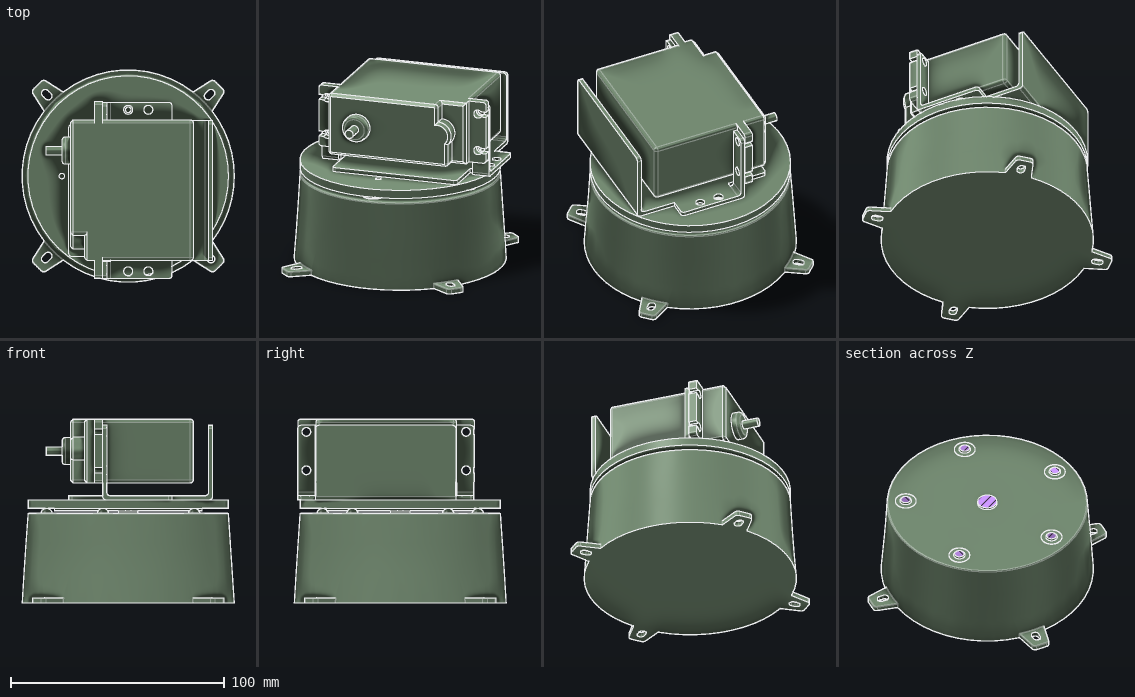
import cadquery as cq
import math

base_bottom_radius = 49.8
base_top_radius = 47.0
base_height = 42.1
base_rim_radius = 0.5

foot_count = 4
foot_first_angle = 45.0
foot_height = 2.5
foot_root = 44.8
foot_tip = 60.2
foot_root_half_width = 7.4
foot_tip_half_width = 4.0
foot_corner_radius = 1.8
foot_top_chamfer = 0.2
foot_blend_radius = 0.2
foot_slot_place = 54.0
foot_slot_length = 5.4
foot_slot_width = 3.5

caster_count = 5
caster_first_angle = 180.0
caster_ring_radius = 38.2
caster_flange_radius = 4.9
caster_flange_height = 0.2
caster_ball_radius = 2.8

turntable_bottom = 44.4
turntable_thickness = 4.0
turntable_radius = base_top_radius
turntable_top = turntable_bottom + turntable_thickness
lip_radius = 34.7
lip_height = 1.2
hub_radius = 4.6
disc_hole_count = 4
disc_hole_ring_radius = 31.1
disc_hole_radius = 1.3

sheet = 2.0
bend_radius = 1.6
wall_corner_radius = 1.6
bracket_left = -11.9
bracket_right = 39.6
bracket_height = 34.9
bracket_center_y = -6.8
bracket_width = 82.6
back_wall_width = 65.7
bracket_slot_width = 66.3
ear_right = 20.5
plan_corner_radius = 1.5
tongue_left = -27.9
tongue_width = 61.7
bracket_hole_radius = 2.1
bracket_hole_xs = (0.0, 9.5)
bracket_hole_spacing = 75.7

servo_center_y = -6.6
servo_width = 65.9
servo_bottom = 56.3
servo_height = 30.0
servo_back = 30.6
servo_front = -27.1
servo_edge_radius = 1.5
servo_front_chamfer = 1.3
flange_thickness = 3.9
flange_width = 82.8
flange_corner_radius = 1.3
recess_front = -20.5
step_upper_y = -27.8
step_lower_y = -32.8
boss_radius = 6.5
shaft_y = 11.9
shaft_radius = 2.0
shaft_tip = -38.4
collar_radius = 6.4
collar_length = 3.9
collar_edge_radius = 1.5

mount_hole_radius = 2.0
mount_spacing_y = 74.9
mount_spacing_z = 18.0
mount_notch_width = 2.5

servo_middle_z = servo_bottom + servo_height / 2
servo_top = servo_bottom + servo_height
servo_y_min = servo_center_y - servo_width / 2
servo_y_max = servo_center_y + servo_width / 2
flange_back = bracket_left
flange_front = flange_back - flange_thickness


def block(x_range, y_range, z_range):
    """Box spanning the given (low, high) ranges."""
    sizes = [high - low for low, high in (x_range, y_range, z_range)]
    corner = (x_range[0], y_range[0], z_range[0])
    return cq.Workplane("XY").box(*sizes, centered=False).translate(corner)


def span(center, width):
    """Range of the given width around a center."""
    return (center - width / 2, center + width / 2)


def rod_along_x(x_start, x_end, y, z, radius):
    """Cylinder along X between two X places."""
    plane = cq.Workplane("YZ", origin=(x_start, y, z))
    return plane.circle(radius).extrude(x_end - x_start)


def mount_hole_places():
    """(Y, Z) centers of the four servo mounting holes, with the Y side each is on."""
    return [
        (servo_center_y + side * mount_spacing_y / 2, servo_middle_z + level * mount_spacing_z / 2, side)
        for side in (-1, 1)
        for level in (-1, 1)
    ]


def make_foot():
    """Tapered foot along +X with a radial slot."""
    foot = (
        cq.Workplane("XY")
        .polyline([
            (foot_root, -foot_root_half_width),
            (foot_tip, -foot_tip_half_width),
            (foot_tip, foot_tip_half_width),
            (foot_root, foot_root_half_width),
        ])
        .close()
        .extrude(foot_height)
        .edges("|Z and >X")
        .fillet(foot_corner_radius)
        .faces(">Z")
        .chamfer(foot_top_chamfer)
    )
    slot = (
        cq.Workplane("XY")
        .center(foot_slot_place, 0)
        .slot2D(foot_slot_length, foot_slot_width)
        .extrude(foot_height)
    )
    return foot.cut(slot)


def make_base():
    """Cone with a rounded top rim and four feet."""
    base = (
        cq.Workplane("XZ")
        .lineTo(base_bottom_radius, 0)
        .lineTo(base_top_radius, base_height)
        .lineTo(0, base_height)
        .close()
        .revolve(360, (0, 0, 0), (0, 1, 0))
        .faces(">Z")
        .edges()
        .fillet(base_rim_radius)
    )
    foot = make_foot()
    for index in range(foot_count):
        angle = foot_first_angle + index * 360 / foot_count
        base = base.union(foot.rotate((0, 0, 0), (0, 0, 1), angle))

    near_ground = cq.selectors.BoxSelector(
        (-base_bottom_radius, -base_bottom_radius, foot_height / 4),
        (base_bottom_radius, base_bottom_radius, foot_height * 2),
    )
    return base.faces("%CONE").edges(near_ground).fillet(foot_blend_radius)


def make_caster(angle):
    """Thin flange on the base with a ball that reaches the underside of the turntable."""
    x = caster_ring_radius * math.cos(math.radians(angle))
    y = caster_ring_radius * math.sin(math.radians(angle))
    ball_center_z = turntable_bottom - caster_ball_radius
    flange = cq.Workplane("XY").circle(caster_flange_radius).extrude(caster_flange_height)
    dome = (
        cq.Workplane("XY")
        .sphere(caster_ball_radius)
        .translate((0, 0, ball_center_z - base_height))
        .intersect(cq.Workplane("XY").circle(caster_flange_radius).extrude(caster_flange_radius))
    )
    return flange.union(dome).translate((x, y, base_height))


def make_turntable():
    """Disc with a lip and a hub below it and four small holes."""
    underside = cq.Workplane("XY", origin=(0, 0, turntable_bottom))
    disc = underside.circle(turntable_radius).extrude(turntable_thickness)
    lip = underside.circle(lip_radius).extrude(-lip_height)
    hub = underside.circle(hub_radius).extrude(base_height - turntable_bottom)
    holes = (
        cq.Workplane("XY")
        .workplane(offset=turntable_bottom - lip_height)
        .polarArray(disc_hole_ring_radius, 0, 360, disc_hole_count)
        .circle(disc_hole_radius)
        .extrude(turntable_thickness + lip_height)
    )
    return disc.union(lip).union(hub).cut(holes)


def make_bracket():
    """Bent sheet: floor with a tongue, two slotted ears on the left and a plain wall on the right."""
    floor_top = turntable_top + sheet
    wall_top = turntable_top + bracket_height
    full_height = (turntable_top, wall_top)
    full_width = span(bracket_center_y, bracket_width)
    bend_end = bracket_left + sheet + bend_radius

    outside = (
        block((bracket_left, bracket_right), full_width, full_height)
        .edges("|Y and <Z")
        .fillet(bend_radius)
    )
    inside = (
        block((bracket_left + sheet, bracket_right - sheet), full_width, (floor_top, wall_top))
        .edges("|Y and <Z")
        .fillet(bend_radius)
    )
    bent_sheet = outside.cut(inside)

    wide_part = (
        block((bracket_left, ear_right), full_width, full_height)
        .edges("|Z and >X")
        .fillet(plan_corner_radius)
        .edges("|X and >Z")
        .fillet(wall_corner_radius)
    )
    narrow_part = (
        block((ear_right, bracket_right), span(bracket_center_y, back_wall_width), full_height)
        .edges("|X and >Z")
        .fillet(wall_corner_radius)
    )
    bracket = bent_sheet.intersect(wide_part.union(narrow_part))

    opening = block((bracket_left, bend_end), span(bracket_center_y, bracket_slot_width), full_height)
    tongue = block((tongue_left, bend_end), span(bracket_center_y, tongue_width), (turntable_top, floor_top))
    tongue = tongue.edges("|Z and <X").fillet(plan_corner_radius)
    bracket = bracket.cut(opening).union(tongue)

    for x in bracket_hole_xs:
        for y in span(bracket_center_y, bracket_hole_spacing):
            hole = cq.Workplane("XY", origin=(x, y, turntable_top)).circle(bracket_hole_radius).extrude(sheet)
            bracket = bracket.cut(hole)
    for y, z, _ in mount_hole_places():
        bracket = bracket.cut(rod_along_x(bracket_left, bracket_left + sheet, y, z, mount_hole_radius))
    return bracket


def make_servo_flange():
    """Mounting plate whose four holes open to the sides through narrow notches."""
    y_range = span(servo_center_y, flange_width)
    x_range = (flange_front, flange_back)
    flange = block(x_range, y_range, (servo_bottom, servo_top)).edges("|X").fillet(flange_corner_radius)
    for y, z, side in mount_hole_places():
        edge_y = y_range[1] if side > 0 else y_range[0]
        notch = block(x_range, (min(y, edge_y), max(y, edge_y)), span(z, mount_notch_width))
        flange = flange.cut(rod_along_x(flange_front, flange_back, y, z, mount_hole_radius)).cut(notch)
    return flange


def make_servo_front():
    """Front cover: a raised gear housing with a round boss, and a recessed strip beside it."""
    boss_drop = math.sqrt(boss_radius**2 - (step_upper_y - step_lower_y) ** 2)
    raised = (
        cq.Workplane("YZ", origin=(servo_front, 0, 0))
        .moveTo(servo_y_max, servo_bottom)
        .lineTo(servo_y_max, servo_top)
        .lineTo(step_upper_y, servo_top)
        .lineTo(step_upper_y, servo_middle_z + boss_radius)
        .threePointArc(
            (step_upper_y - boss_radius, servo_middle_z),
            (step_lower_y, servo_middle_z - boss_drop),
        )
        .lineTo(step_lower_y, servo_bottom)
        .close()
        .extrude(flange_back - servo_front)
    )
    raised = raised.edges("|X and (<Z or >Z)").fillet(servo_edge_radius)
    raised = raised.faces("<X").chamfer(servo_front_chamfer)
    recessed = block((recess_front, flange_back), (servo_y_min, servo_center_y), (servo_bottom, servo_top))
    recessed = recessed.faces("<X").chamfer(servo_front_chamfer)
    return raised.union(recessed)


def make_servo():
    """Servo lying on its side with the shaft toward -X."""
    case = (
        block((flange_front, servo_back), (servo_y_min, servo_y_max), (servo_bottom, servo_top))
        .edges("|X or >X")
        .fillet(servo_edge_radius)
    )
    collar = rod_along_x(servo_front - collar_length, servo_front, shaft_y, servo_middle_z, collar_radius)
    collar = collar.faces("<X").edges().fillet(collar_edge_radius)
    shaft = rod_along_x(shaft_tip, servo_front, shaft_y, servo_middle_z, shaft_radius)
    return case.union(make_servo_flange()).union(make_servo_front()).union(collar).union(shaft)


base = make_base()
casters = [make_caster(caster_first_angle + index * 360 / caster_count) for index in range(caster_count)]
turntable = make_turntable()
bracket = make_bracket()
servo = make_servo()

result = cq.Compound.makeCompound([
    base.val(),
    *[caster.val() for caster in casters],
    turntable.val(),
    bracket.val(),
    servo.val(),
])